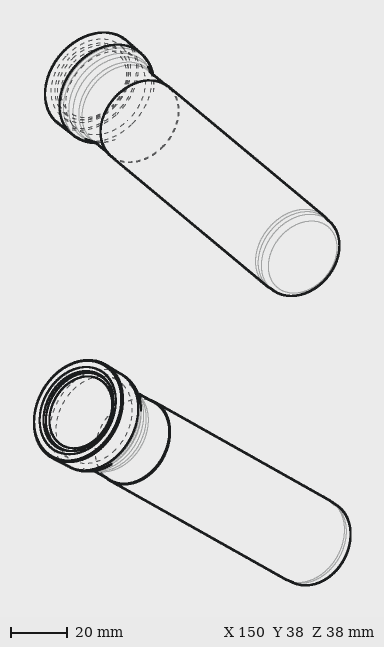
import cadquery as cq
import math

length = 150.0
ring_depth = 10.4
head_end = 11.2
steep_cone_start = 12.6
steep_cone_end = 14.4
slim_cone_start = 16.6
slim_cone_end = 19.4
neck_start = 21.2
neck_end = 34.4
tail_cone_start = 144.5
tail_cone_end = 146.0

head_front_radius = 18.98
head_radius = 18.8
steep_cone_start_radius = 18.5
steep_cone_end_radius = 17.2
slim_cone_start_radius = 16.8
slim_cone_end_radius = 16.0
neck_radius = 31.5 / 2
shank_radius = 32.0 / 2
tail_radius = neck_radius
tail_fillet = 1.8
shank_chamfer = shank_radius - neck_radius
rim_chamfer = 0.5

ring_bore_radius = 16.2
dish_depth = 0.5
recess_radius = 14.8
wall_bottom = 1.5
wall_bottom_radius = 14.5
recess_depth = 2.0
floor_radius = 13.4


def revolve_about_x(profile):
    """Turn a closed (x, radius) profile into a solid around the X axis."""
    return profile.close().revolve(360, (0, 0, 0), (1, 0, 0))


def make_head_ring():
    """Slightly tapered ring around the front of the holder."""
    return revolve_about_x(
        cq.Workplane("XY")
        .moveTo(0, ring_bore_radius)
        .lineTo(0, head_front_radius - rim_chamfer)
        .lineTo(rim_chamfer, head_front_radius)
        .lineTo(ring_depth, head_radius)
        .lineTo(ring_depth, ring_bore_radius)
    )


def make_holder():
    """Shank, neck and flared head, with a hub that fills the ring bore."""
    steep_slope = (steep_cone_end_radius - steep_cone_start_radius) / (steep_cone_end - steep_cone_start)
    tail_arc = tail_fillet * math.sqrt(0.5)
    tail_center_x = length - tail_fillet
    tail_center_radius = tail_radius - tail_fillet

    return revolve_about_x(
        cq.Workplane("XY")
        .moveTo(recess_depth, 0)
        .lineTo(recess_depth, floor_radius)
        .lineTo(wall_bottom, wall_bottom_radius)
        .lineTo(dish_depth, recess_radius)
        .lineTo(0, ring_bore_radius)
        .lineTo(ring_depth, ring_bore_radius)
        .lineTo(ring_depth, head_radius)
        .lineTo(head_end, head_radius)
        .tangentArcPoint((steep_cone_start, steep_cone_start_radius), relative=False)
        .lineTo(steep_cone_end, steep_cone_end_radius)
        .spline(
            [(slim_cone_start, slim_cone_start_radius)],
            tangents=[
                (1, steep_slope),
                (slim_cone_end - slim_cone_start, slim_cone_end_radius - slim_cone_start_radius),
            ],
            includeCurrent=True,
        )
        .lineTo(slim_cone_end, slim_cone_end_radius)
        .lineTo(neck_start, neck_radius)
        .lineTo(neck_end, neck_radius)
        .lineTo(neck_end + shank_chamfer, shank_radius)
        .lineTo(tail_cone_start, shank_radius)
        .lineTo(tail_cone_end, tail_radius)
        .lineTo(tail_center_x, tail_radius)
        .threePointArc(
            (tail_center_x + tail_arc, tail_center_radius + tail_arc),
            (length, tail_center_radius),
        )
        .lineTo(length, 0)
    )


head_ring = make_head_ring()
holder = make_holder()
result = cq.Compound.makeCompound([head_ring.val(), holder.val()])